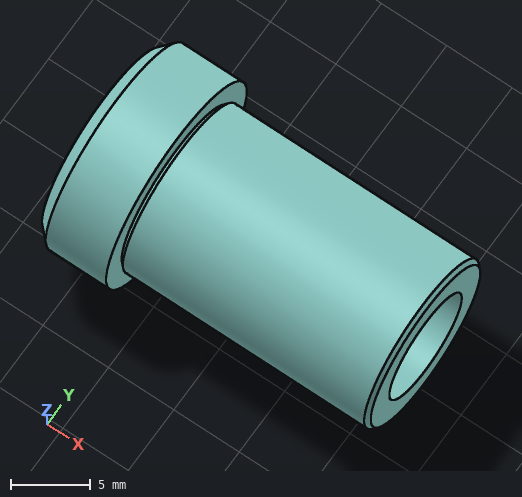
import cadquery as cq

total_length = 24.6
head_length = 5.55
head_diameter = 15.5
shank_diameter = 12.67
bore_diameter = 7.97
head_chamfer = 0.94
bore_chamfer = 0.94
shank_chamfer = 0.3
relief_length = 0.3
relief_depth = 0.3

head_radius = head_diameter / 2
shank_radius = shank_diameter / 2
bore_radius = bore_diameter / 2

half_section = [
    (0, bore_radius + bore_chamfer),
    (0, head_radius - head_chamfer),
    (head_chamfer, head_radius),
    (head_length, head_radius),
    (head_length, shank_radius - relief_depth),
    (head_length + relief_length, shank_radius),
    (total_length - shank_chamfer, shank_radius),
    (total_length, shank_radius - shank_chamfer),
    (total_length, bore_radius),
    (bore_chamfer, bore_radius),
]

result = (
    cq.Workplane("XY")
    .polyline(half_section)
    .close()
    .revolve(360, (0, 0, 0), (1, 0, 0))
)